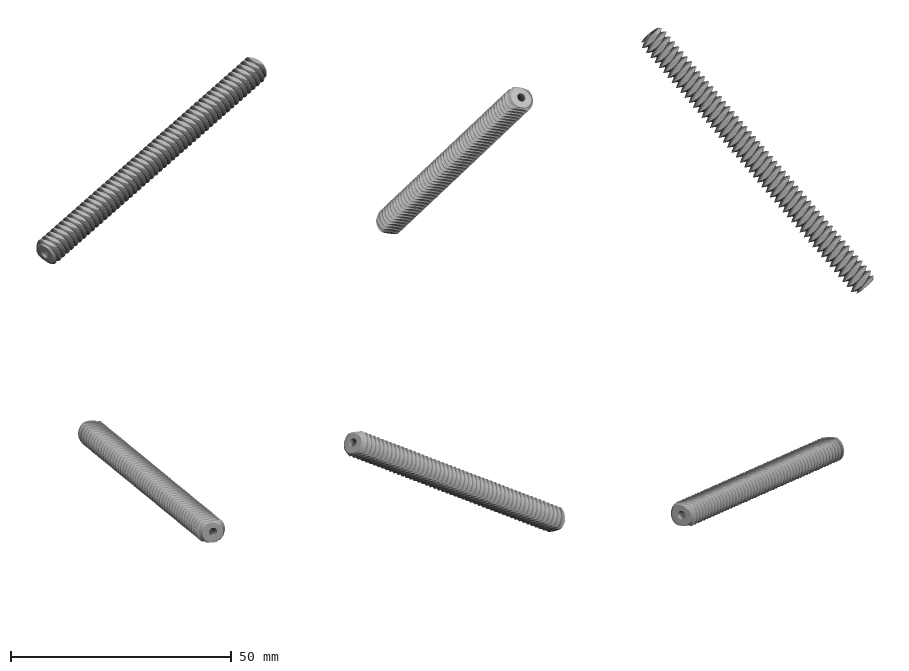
import math

import cadquery as cq

length = 75.62
major_diameter = 6.6
flat_height = 5.0
bore_diameter = 2.0
end_diameter = 5.0

pitch = 1.5
thread_angle = 60
crest_width = 0.05
crest_offset = 0.38
extra_turns = 2
envelope_clearance = 0.5

major_radius = major_diameter / 2
root_radius = major_radius - (pitch - crest_width) / 2 / math.tan(math.radians(thread_angle / 2))


def thread_blank(first_turn, turns):
    """Solid screw around Z, running past the given turns at both ends."""
    root_z = crest_offset + (first_turn - extra_turns - 0.5) * pitch
    crest_z = crest_offset + (first_turn - extra_turns) * pitch
    blank_turns = turns + 2 * extra_turns
    tooth = [
        (root_radius, root_z),
        (major_radius, crest_z - crest_width / 2),
        (major_radius, crest_z + crest_width / 2),
        (root_radius, root_z + pitch),
    ]
    helices = [cq.Wire.makeHelix(pitch, pitch, radius, cq.Vector(0, 0, z)) for radius, z in tooth]
    turn_faces = []
    for lower, upper in zip(helices, helices[1:]):
        turn_faces += cq.Face.makeRuledSurface(lower, upper).Faces()

    axis = cq.Wire.assembleEdges([cq.Edge.makeLine(cq.Vector(0, 0, root_z), cq.Vector(0, 0, root_z + pitch))])
    wall_corners = [(0, root_z)] + tooth + [(0, root_z + pitch)]
    wall_outline = cq.Wire.makePolygon([cq.Vector(radius, 0, z) for radius, z in wall_corners], close=True)
    end_faces = cq.Face.makeRuledSurface(axis, helices[0]).Faces()
    end_faces.append(cq.Face.makeFromWires(wall_outline))

    faces = []
    for turn in range(blank_turns):
        faces += [face.translate(cq.Vector(0, 0, turn * pitch)) for face in turn_faces]
    for turn in (0, blank_turns):
        faces += [face.translate(cq.Vector(0, 0, turn * pitch)) for face in end_faces]
    return cq.Workplane(cq.Solid.makeSolid(cq.Shell.makeShell(faces)))


def plain_section(first_turn, turns):
    """Slice of the rod without its thread: end chamfers, flats and bore."""
    outer_radius = major_radius + envelope_clearance
    end_radius = end_diameter / 2
    chamfer = outer_radius - end_radius
    rod = (
        cq.Workplane("XZ")
        .moveTo(bore_diameter / 2, 0)
        .lineTo(end_radius, 0)
        .lineTo(outer_radius, chamfer)
        .lineTo(outer_radius, length - chamfer)
        .lineTo(end_radius, length)
        .lineTo(bore_diameter / 2, length)
        .close()
        .revolve(360, (0, 0, 0), (0, 1, 0))
    )
    slab = (
        cq.Workplane("XY")
        .box(2 * outer_radius, flat_height, turns * pitch, centered=(True, True, False))
        .translate((0, 0, first_turn * pitch))
    )
    return rod.intersect(slab)


def threaded_section(first_turn, turns):
    """Slice of the finished rod that spans the given turns."""
    return thread_blank(first_turn, turns).intersect(plain_section(first_turn, turns), clean=False)


last_turn = math.floor(length / pitch) - 1
front_skin = threaded_section(0, 1).faces("not >Z").vals()
turn_skin = threaded_section(1, 1).faces("not(<Z or >Z)").vals()
rear_skin = threaded_section(last_turn, 2).faces("not <Z").vals()

skin = front_skin + rear_skin
for turn in range(1, last_turn):
    shift = cq.Vector(0, 0, (turn - 1) * pitch)
    skin += [face.translate(shift) for face in turn_skin]

threaded_rod = cq.Workplane(cq.Solid.makeSolid(cq.Shell.makeShell(skin))).clean()
result = threaded_rod.rotate((0, 0, 0), (1, 0, 0), -90)